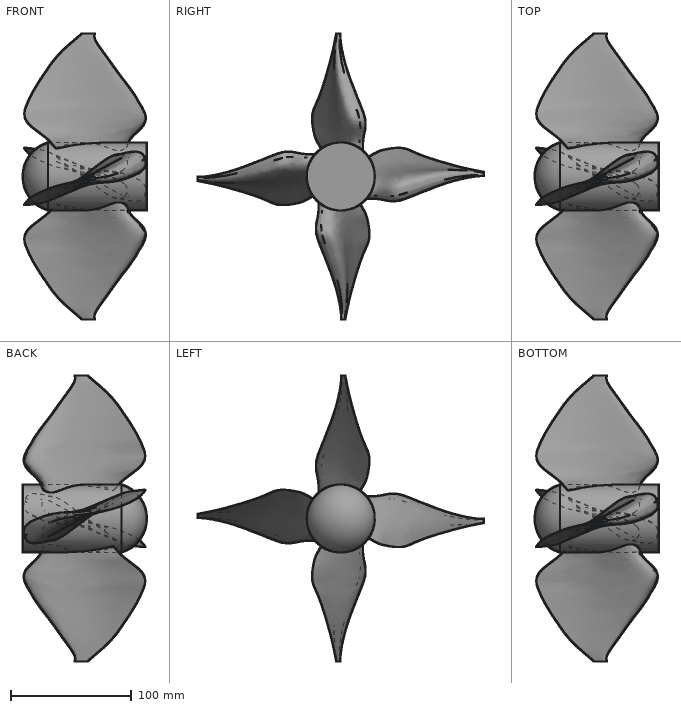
import cadquery as cq
import math

hub_length = 103.5
hub_radius = 28.3
nose_length = 21.2

blade_count = 4
root_thickness = 11.5
tip_thickness = 2.0
thickest_fraction = 0.58

blade_stations = [
    (19, 36.7, -16.2, 79.5, 15.2),
    (28.5, 23.0, -19.5, 87.4, 15.7),
    (38, 11.5, -22.9, 95.7, 16.2),
    (45.2, 3.8, -23.8, 101.2, 16.0),
    (52.4, 1.5, -23.5, 101.2, 14.3),
    (59.5, 3.3, -21.0, 97.5, 11.7),
    (71.5, 9.0, -16.2, 90.5, 7.4),
    (83.3, 16.5, -12.4, 81.7, 3.5),
    (95.2, 24.8, -9.0, 73.0, 0.7),
    (107.1, 35.7, -6.2, 64.5, -1.0),
    (119, 49.5, -3.8, 60.2, -1.0),
]
root_radius = blade_stations[0][0]
tip_radius = blade_stations[-1][0]


def make_hub():
    """Revolve the half profile of the nose dome and cylinder about X."""
    dome_radius = (hub_radius**2 + nose_length**2) / (2 * nose_length)
    half_angle = math.asin(hub_radius / dome_radius) / 2
    dome_middle = (
        dome_radius * (1 - math.cos(half_angle)),
        dome_radius * math.sin(half_angle),
    )
    return (
        cq.Workplane("XY")
        .threePointArc(dome_middle, (nose_length, hub_radius))
        .lineTo(hub_length, hub_radius)
        .lineTo(hub_length, 0)
        .close()
        .revolve(360, (0, 0, 0), (1, 0, 0))
    )


def foil_side(leading, thickest_point, trailing, half_depth):
    """One side of a foil: sharp at the leading edge, rounded at the trailing edge."""
    crest = thickest_point + half_depth
    return cq.Edge.makeSpline(
        [leading, crest, trailing],
        tangents=[crest - leading, -half_depth],
    )


def blade_section(radius, lead_x, lead_y, trail_x, trail_y):
    """Foil section, thickest behind mid-chord, between the leading and trailing edges."""
    span_fraction = (radius - root_radius) / (tip_radius - root_radius)
    thickness = root_thickness + (tip_thickness - root_thickness) * span_fraction
    leading = cq.Vector(lead_x, lead_y, radius)
    trailing = cq.Vector(trail_x, trail_y, radius)
    chord = trailing - leading
    thickest_point = leading + chord * thickest_fraction
    half_depth = cq.Vector(-chord.y, chord.x, 0).normalized() * (thickness / 2)
    upper = foil_side(leading, thickest_point, trailing, half_depth)
    lower = foil_side(leading, thickest_point, trailing, -half_depth)
    return cq.Wire.assembleEdges([upper, lower])


def make_blade():
    """Loft the twisted blade through all its stations, pointing along +Z."""
    sections = [blade_section(*station) for station in blade_stations]
    return cq.Workplane(cq.Solid.makeLoft(sections))


result = make_hub()
blade = make_blade()
for index in range(blade_count):
    angle = index * 360 / blade_count
    result = result.union(blade.rotate((0, 0, 0), (1, 0, 0), angle))